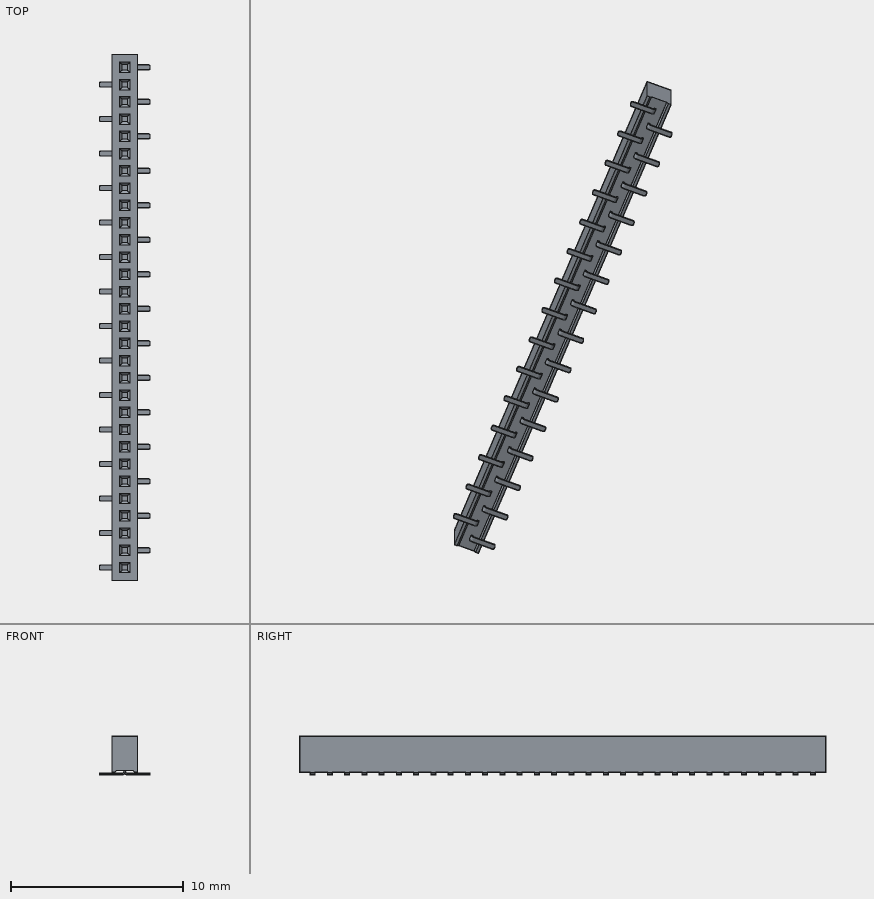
import cadquery as cq

contact_count = 30
pitch = 1.0
end_margin = 0.75
overall_height = 2.25
lead_span = 2.95

body_width = 1.5
body_length = (contact_count - 1) * pitch + 2 * end_margin
body_bottom = 0.15
body_height = overall_height - body_bottom

channel_roof_width = 0.95
channel_depth = 0.1
channel_roof = body_bottom + channel_depth
channel_mouth_width = channel_roof_width + 2 * channel_depth

opening_width = 0.6
socket_width = 0.3
lead_in_depth = (opening_width - socket_width) / 2
socket_depth = 1.2

lead_width = 0.3
tip_radius = 0.1
lead_thickness = 0.1
post_thickness = lead_thickness
bend_inner_radius = 0.1
bend_outer_radius = bend_inner_radius + lead_thickness
post_top = channel_roof


def housing():
    """Rectangular housing with a trapezoidal channel along its underside."""
    body = cq.Workplane("XY").workplane(offset=body_bottom).box(
        body_width, body_length, body_height, centered=(True, True, False)
    )
    channel = (
        cq.Workplane("XZ")
        .moveTo(-channel_mouth_width / 2, body_bottom)
        .lineTo(-channel_roof_width / 2, channel_roof)
        .lineTo(channel_roof_width / 2, channel_roof)
        .lineTo(channel_mouth_width / 2, body_bottom)
        .close()
        .extrude(body_length / 2, both=True)
    )
    return body.cut(channel)


def contact_opening(y):
    """Square blind socket with a pyramidal lead-in, open at the top of the housing."""
    lead_in = (
        cq.Workplane("XY", origin=(0, y, overall_height))
        .rect(opening_width, opening_width)
        .workplane(offset=-lead_in_depth)
        .rect(socket_width, socket_width)
        .loft(ruled=True)
    )
    socket = (
        cq.Workplane("XY", origin=(0, y, overall_height))
        .rect(socket_width, socket_width)
        .extrude(-socket_depth)
    )
    return lead_in.union(socket)


def lead(y, side):
    """Upright post bent into a flat blade that points to +X (side 1) or -X (side -1)."""
    post_outer_x = -side * post_thickness / 2
    post_inner_x = side * post_thickness / 2
    tip_x = side * lead_span / 2
    tip_start_x = tip_x - side * tip_radius
    profile = (
        cq.Workplane("XZ", origin=(0, y, 0))
        .moveTo(tip_x, 0)
        .lineTo(post_outer_x + side * bend_outer_radius, 0)
        .radiusArc((post_outer_x, bend_outer_radius), side * bend_outer_radius)
        .lineTo(post_outer_x, post_top)
        .lineTo(post_inner_x, post_top)
        .lineTo(post_inner_x, bend_outer_radius)
        .radiusArc((post_inner_x + side * bend_inner_radius, lead_thickness), -side * bend_inner_radius)
        .lineTo(tip_x, lead_thickness)
        .close()
        .extrude(lead_width / 2, both=True)
    )
    plan = (
        cq.Workplane("XY")
        .moveTo(post_outer_x, y - lead_width / 2)
        .lineTo(tip_start_x, y - lead_width / 2)
        .radiusArc((tip_x, y - lead_width / 2 + tip_radius), -side * tip_radius)
        .lineTo(tip_x, y + lead_width / 2 - tip_radius)
        .radiusArc((tip_start_x, y + lead_width / 2), -side * tip_radius)
        .lineTo(post_outer_x, y + lead_width / 2)
        .close()
        .extrude(post_top)
    )
    return profile.intersect(plan)


openings = []
leads = []
for index in range(contact_count):
    contact_y = (index - (contact_count - 1) / 2) * pitch
    lead_side = -1 if index % 2 == 0 else 1
    openings.append(contact_opening(contact_y).val())
    leads.append(lead(contact_y, lead_side).val())

open_housing = housing().val().cut(*openings)
result = cq.Workplane("XY").newObject([open_housing.fuse(*leads)])